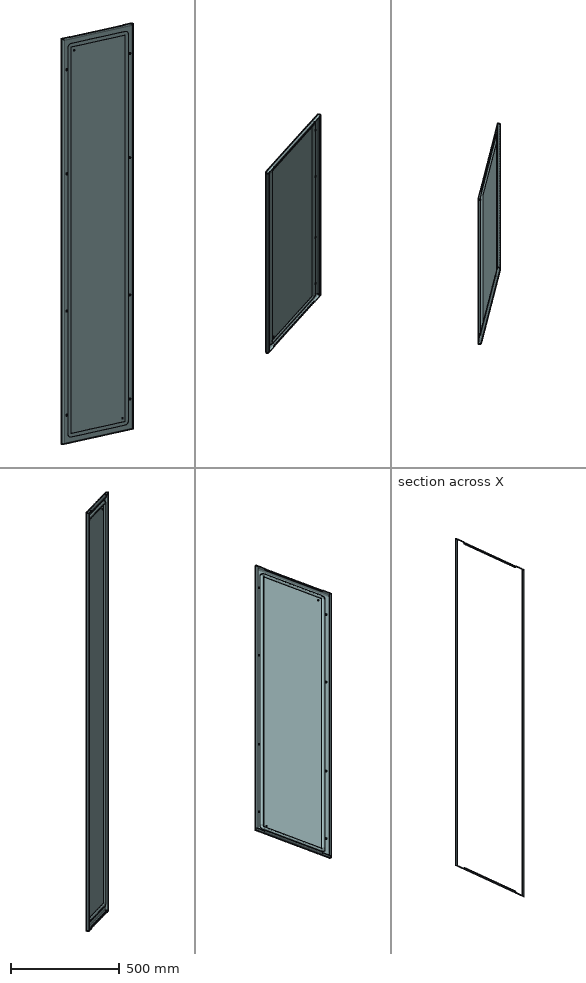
import cadquery as cq
import math

DEPTH = 17.0
WIDTH = 388.56
HEIGHT = 1996.0

SHEET = 2.5
SIDE_BEND = 10.0
END_BEND = 5.0
LIP_BEND = 4.0
SIDE_LIP = 12.0
END_LIP = 10.0
END_LIP_LENGTH = 296.0
END_LIP_CHAMFER = 5.0

TIP_DIAMETER = 3.0
TIP_HEIGHT = 0.5
TIP_X = 3.0
TIP_Y = 189.0

BEAD_RADIUS = 9.0
BEAD_TURN = 10.0
BEAD_INSET = 38.0

HOLE_DIAMETER = 9.0
HOLE_INSET = 22.5
HOLE_HEIGHTS = (-850.5, -338.0, 338.0, 850.5)
HOLE_STAGGER = 5.5

CORNER_HOLE_DIAMETER = 6.0
CORNER_HOLE_Y = 132.0
CORNER_HOLE_Z = 932.0

DIAGONAL = math.sqrt(0.5)
X_FRONT = DEPTH / 2
X_BACK = -DEPTH / 2
X_FLOOR = X_FRONT - SHEET
WALL_HEIGHT = HEIGHT - 2 * TIP_HEIGHT


def envelope(inset):
    """Outer form of the folded sheet, shrunk by inset: side and end bends rounded."""
    depth = DEPTH - 2 * inset
    width = WIDTH - 2 * inset
    height = WALL_HEIGHT - 2 * inset
    plan = (
        cq.Workplane("XY")
        .box(depth, width, height)
        .edges("|Z and >X").fillet(SIDE_BEND - inset)
        .edges("|Z and <X").fillet(LIP_BEND - inset)
    )
    profile = (
        cq.Workplane("XY")
        .box(depth, width, height)
        .edges("|Y and >X").fillet(END_BEND - inset)
    )
    return plan.intersect(profile)


def folded_tray():
    """Skin with four walls and side lips, open at the back between the lips."""
    opening = cq.Workplane("XY").box(DEPTH, WIDTH - 2 * SIDE_LIP, WALL_HEIGHT - 2 * SHEET)
    opening = opening.translate((X_BACK, 0, 0))
    return envelope(0).cut(envelope(SHEET)).cut(opening)


def add_end_lip(tray, end):
    """Fold the middle stretch of one end wall inward; end is +1 for the top, -1 for the bottom."""
    z_wall = end * WALL_HEIGHT / 2
    z_tip = z_wall - end * END_LIP
    inner_bend = LIP_BEND - SHEET
    x_bend = X_BACK + LIP_BEND
    z_bend = z_wall - end * LIP_BEND
    square_edge = (
        cq.Workplane("XY")
        .box(LIP_BEND, END_LIP_LENGTH, LIP_BEND)
        .translate((X_BACK + LIP_BEND / 2, 0, z_wall - end * LIP_BEND / 2))
    )
    lip = (
        cq.Workplane("XZ")
        .moveTo(x_bend, z_wall)
        .threePointArc(
            (x_bend - DIAGONAL * LIP_BEND, z_bend + end * DIAGONAL * LIP_BEND),
            (X_BACK, z_bend),
        )
        .lineTo(X_BACK, z_tip)
        .lineTo(X_BACK + SHEET, z_tip)
        .lineTo(X_BACK + SHEET, z_bend)
        .threePointArc(
            (x_bend - DIAGONAL * inner_bend, z_bend + end * DIAGONAL * inner_bend),
            (x_bend, z_wall - end * SHEET),
        )
        .close()
        .extrude(END_LIP_LENGTH / 2, both=True)
    )
    tip_face = "<Z" if end > 0 else ">Z"
    lip = lip.faces(tip_face).edges("|X").chamfer(END_LIP_CHAMFER)
    return tray.cut(square_edge).union(lip)


def bead_section(plane, y_origin, z_origin, offset):
    """Half-round section standing on the skin, its centre at offset from the given origin."""
    return (
        cq.Workplane(plane, origin=(X_FLOOR, y_origin, z_origin))
        .moveTo(0, offset - BEAD_RADIUS)
        .threePointArc((-BEAD_RADIUS, offset), (0, offset + BEAD_RADIUS))
        .close()
    )


def sealing_bead():
    """Half-round bead following a round-cornered loop on the inside of the skin."""
    y_line = WIDTH / 2 - BEAD_INSET
    z_line = HEIGHT / 2 - BEAD_INSET
    y_turn = y_line - BEAD_TURN
    z_turn = z_line - BEAD_TURN
    side_run = bead_section("XY", y_line, 0, 0).extrude(z_turn, both=True)
    end_run = bead_section("XZ", 0, z_line, 0).extrude(y_turn, both=True)
    corner = bead_section("XY", y_turn, z_turn, BEAD_TURN).revolve(90, (0, 0, 0), (1, 0, 0))
    upper_corners = corner.union(corner.mirror("XZ"))
    corners = upper_corners.union(upper_corners.mirror("XY"))
    sides = side_run.union(side_run.mirror("XZ"))
    ends = end_run.union(end_run.mirror("XY"))
    return corners.union(sides).union(ends)


def corner_tips():
    """Short round points, rooted in the end walls, near each corner."""
    root = WALL_HEIGHT / 2 - SHEET
    upper = (
        cq.Workplane("XY", origin=(0, 0, root))
        .pushPoints([(TIP_X, TIP_Y), (TIP_X, -TIP_Y)])
        .circle(TIP_DIAMETER / 2)
        .extrude(SHEET + TIP_HEIGHT)
    )
    return upper.union(upper.mirror("XY"))


def drill(diameter, positions):
    """Cylinders through the full depth at the given (y, z) positions."""
    return (
        cq.Workplane("YZ")
        .pushPoints(positions)
        .circle(diameter / 2)
        .extrude(DEPTH, both=True)
    )


def fixing_holes():
    """Rows of holes outside the bead, one row turned half round relative to the other."""
    y_row = WIDTH / 2 - HOLE_INSET
    positions = []
    for side in (1, -1):
        for height in HOLE_HEIGHTS:
            positions.append((side * y_row, height + side * HOLE_STAGGER))
    return drill(HOLE_DIAMETER, positions)


def corner_holes():
    """Two small holes in diagonally opposite corners of the skin."""
    positions = [(-CORNER_HOLE_Y, CORNER_HOLE_Z), (CORNER_HOLE_Y, -CORNER_HOLE_Z)]
    return drill(CORNER_HOLE_DIAMETER, positions)


panel = folded_tray()
for end in (1, -1):
    panel = add_end_lip(panel, end)
panel = panel.union(corner_tips()).union(sealing_bead())
result = panel.cut(fixing_holes()).cut(corner_holes())